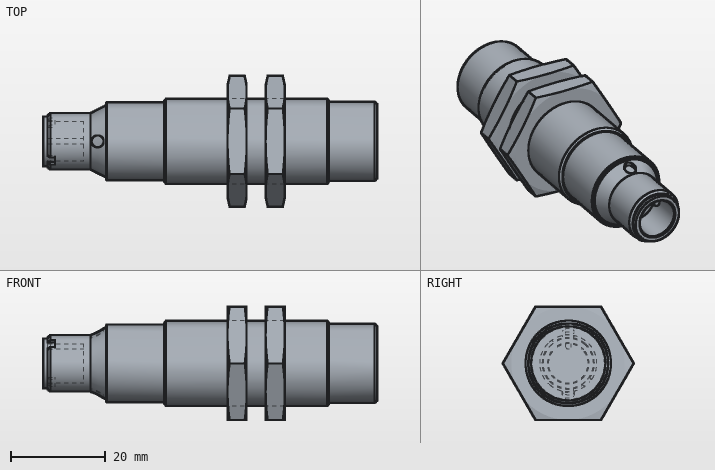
import cadquery as cq
import math

LENGTH = 70.5
TIP_RADIUS = 5.3
COLLAR_START = 0.9
COLLAR_START_RADIUS = 5.5
NECK_START = 1.55
NECK_RADIUS = 6.0
CONE_START = 10.0
CONE_END = 13.25
CONE_END_RADIUS = 7.6
SLEEVE_RADIUS = 8.25
SLEEVE_CHAMFER = 0.2
THREAD_START = 25.5
THREAD_END = 60.35
THREAD_RADIUS = 9.0
THREAD_ROOT_RADIUS = 8.45
THREAD_CHAMFER = 0.4
HEAD_RADIUS = 8.4
HEAD_CHAMFER = 0.55

SOCKET_RADIUS = 4.15
SOCKET_DEPTH = 8.45
SOCKET_CHAMFER = 0.2
KEY_WIDTH = 1.2
KEY_BOTTOM = 3.0

NOTCH_END = 2.5
NOTCH_WIDTH = 2.05
NOTCH_ANGLES = (45.0, 225.0)

WINDOW_X = 11.5
WINDOW_DIAMETER = 2.55
WINDOW_DEPTH = 0.7

NUT_ACROSS_FLATS = 24.0
NUT_THICKNESS = 4.0
NUT_CHAMFER = 0.4
NUT_STARTS = (38.9, 46.95)
ACROSS_CORNERS = NUT_ACROSS_FLATS / math.cos(math.radians(30))


def revolve_about_x(profile):
    return cq.Workplane("XY").polyline(profile).close().revolve(360, (0, 0, 0), (1, 0, 0))


def cylinder_along_x(radius, start, end):
    return cq.Workplane("YZ", origin=(start, 0, 0)).circle(radius).extrude(end - start)


def make_turned_blank():
    return revolve_about_x([
        (0, 0),
        (0, TIP_RADIUS),
        (COLLAR_START, TIP_RADIUS),
        (COLLAR_START, COLLAR_START_RADIUS),
        (NECK_START, NECK_RADIUS),
        (CONE_START, NECK_RADIUS),
        (CONE_END, CONE_END_RADIUS),
        (CONE_END, SLEEVE_RADIUS - SLEEVE_CHAMFER),
        (CONE_END + SLEEVE_CHAMFER, SLEEVE_RADIUS),
        (THREAD_START, SLEEVE_RADIUS),
        (THREAD_START, THREAD_ROOT_RADIUS),
        (THREAD_START + THREAD_CHAMFER, THREAD_RADIUS),
        (THREAD_END - THREAD_CHAMFER, THREAD_RADIUS),
        (THREAD_END, THREAD_ROOT_RADIUS),
        (THREAD_END, HEAD_RADIUS),
        (LENGTH - HEAD_CHAMFER, HEAD_RADIUS),
        (LENGTH, HEAD_RADIUS - HEAD_CHAMFER),
        (LENGTH, 0),
    ])


def make_socket():
    """Blind round socket with a chamfered mouth, less the round-nosed key along its top."""
    bore = revolve_about_x([
        (0, 0),
        (0, SOCKET_RADIUS + SOCKET_CHAMFER),
        (SOCKET_CHAMFER, SOCKET_RADIUS),
        (SOCKET_DEPTH, SOCKET_RADIUS),
        (SOCKET_DEPTH, 0),
    ])
    nose_center = KEY_BOTTOM + KEY_WIDTH / 2
    key = (
        cq.Workplane("YZ", origin=(SOCKET_CHAMFER, 0, 0))
        .moveTo(-KEY_WIDTH / 2, SOCKET_RADIUS)
        .lineTo(-KEY_WIDTH / 2, nose_center)
        .threePointArc((0, KEY_BOTTOM), (KEY_WIDTH / 2, nose_center))
        .lineTo(KEY_WIDTH / 2, SOCKET_RADIUS)
        .close()
        .extrude(SOCKET_DEPTH)
    )
    return bore.cut(key)


def make_notch(angle):
    """Cutter that takes the neck down to the tip radius, turned about X from the -Y side."""
    slot = (
        cq.Workplane("XY", origin=(COLLAR_START, 0, 0))
        .box(NOTCH_END - COLLAR_START, NECK_RADIUS, NOTCH_WIDTH, centered=(False, False, True))
        .translate((0, -NECK_RADIUS, 0))
        .cut(cylinder_along_x(TIP_RADIUS, COLLAR_START, NOTCH_END))
    )
    return slot.rotate((0, 0, 0), (1, 0, 0), -angle)


def make_windows():
    """Cutter for both windows: one Z cylinder outside a cone that lies parallel to the surface."""
    drill = (
        cq.Workplane("XY", origin=(WINDOW_X, 0, 0))
        .circle(WINDOW_DIAMETER / 2)
        .extrude(SLEEVE_RADIUS, both=True)
    )
    floor_cone = revolve_about_x([
        (CONE_START, 0),
        (CONE_START, NECK_RADIUS - WINDOW_DEPTH),
        (CONE_END, CONE_END_RADIUS - WINDOW_DEPTH),
        (CONE_END, 0),
    ])
    return drill.cut(floor_cone)


def make_housing():
    housing = make_turned_blank().cut(make_socket()).cut(make_windows())
    for angle in NOTCH_ANGLES:
        housing = housing.cut(make_notch(angle))
    return housing.clean()


def make_nut(start):
    """Hexagon nut with corners on Y, both faces chamfered down to the across-flats circle."""
    hexagon = (
        cq.Workplane("YZ")
        .polygon(6, ACROSS_CORNERS)
        .extrude(NUT_THICKNESS)
    )
    chamfer_envelope = revolve_about_x([
        (0, THREAD_RADIUS),
        (0, NUT_ACROSS_FLATS / 2),
        (NUT_CHAMFER, ACROSS_CORNERS / 2),
        (NUT_THICKNESS - NUT_CHAMFER, ACROSS_CORNERS / 2),
        (NUT_THICKNESS, NUT_ACROSS_FLATS / 2),
        (NUT_THICKNESS, THREAD_RADIUS),
    ])
    return hexagon.intersect(chamfer_envelope).translate((start, 0, 0))


housing = make_housing()
nuts = [make_nut(start) for start in NUT_STARTS]

result = cq.Compound.makeCompound([housing.val(), *[nut.val() for nut in nuts]])